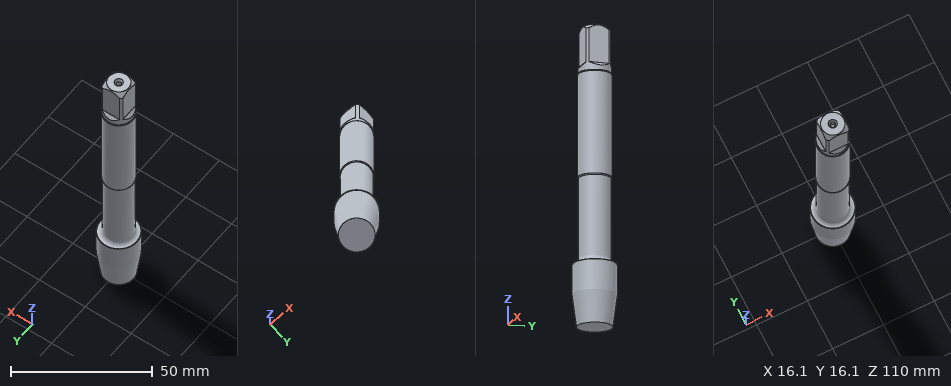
import cadquery as cq
import math

total_length = 110.0
taper_height = 11.7
head_height = 22.9
collar_bottom = 54.5
collar_top = 93.0
flat_bottom = 95.9

head_diameter = 16.1
tip_diameter = 13.0
lower_shaft_diameter = 11.7
collar_diameter = 12.2
drive_diameter = 11.9
drive_top_diameter = 8.6

square_width = 9.2
run_out_angle = 43.0
top_chamfer_height = 1.6
center_hole_diameter = 2.0
center_hole_depth = 3.3
countersink_diameter = 3.2
drill_point_angle = 118.0
collar_chamfer_height = 0.4
neck_fillet_radius = 2.0


def revolve_profile(points):
    """Revolve an (r, z) outline about the Z axis."""
    return cq.Workplane("XZ").polyline(points).close().revolve(360, (0, 0), (0, 1))


def make_head():
    """Threading head: a cylinder that tapers towards the tip."""
    head_radius = head_diameter / 2
    return revolve_profile([
        (0, 0),
        (tip_diameter / 2, 0),
        (head_radius, taper_height),
        (head_radius, head_height),
        (0, head_height),
    ])


def make_shank_blank():
    """Round shank with its flared neck, collar and beveled drive end."""
    shaft_radius = lower_shaft_diameter / 2
    collar_radius = collar_diameter / 2
    drive_radius = drive_diameter / 2
    neck_height = head_height + neck_fillet_radius
    flare_radius = shaft_radius + neck_fillet_radius
    arc_offset = neck_fillet_radius * math.sqrt(0.5)
    flare_middle = (flare_radius - arc_offset, neck_height - arc_offset)
    return (
        cq.Workplane("XZ")
        .moveTo(0, head_height)
        .lineTo(flare_radius, head_height)
        .threePointArc(flare_middle, (shaft_radius, neck_height))
        .lineTo(shaft_radius, collar_bottom)
        .lineTo(collar_radius, collar_bottom + collar_chamfer_height)
        .lineTo(collar_radius, collar_top - collar_chamfer_height)
        .lineTo(drive_radius, collar_top)
        .lineTo(drive_radius, total_length - top_chamfer_height)
        .lineTo(drive_top_diameter / 2, total_length)
        .lineTo(0, total_length)
        .close()
        .revolve(360, (0, 0), (0, 1))
    )


def make_flat_cutter():
    """Wedge-ended cutter for one drive flat, with a sloped run-out at its foot."""
    inner = square_width / 2
    outer = drive_diameter
    run_out = (outer - inner) * math.tan(math.radians(run_out_angle))
    return (
        cq.Workplane("XZ")
        .polyline([
            (inner, flat_bottom),
            (outer, flat_bottom - run_out),
            (outer, total_length),
            (inner, total_length),
        ])
        .close()
        .extrude(drive_diameter / 2, both=True)
    )


def make_center_hole():
    """Countersunk centre hole with a drill-point bottom."""
    hole_radius = center_hole_diameter / 2
    sink_radius = countersink_diameter / 2
    sink_depth = (sink_radius - hole_radius) * math.sqrt(3)
    point_depth = hole_radius / math.tan(math.radians(drill_point_angle / 2))
    hole_bottom = total_length - center_hole_depth
    return revolve_profile([
        (0, hole_bottom - point_depth),
        (hole_radius, hole_bottom),
        (hole_radius, total_length - sink_depth),
        (sink_radius, total_length),
        (0, total_length),
    ])


def make_shank():
    """Shank with four drive flats and a centre hole."""
    shank = make_shank_blank().cut(make_center_hole())
    for angle in (0, 90, 180, 270):
        shank = shank.cut(make_flat_cutter().rotate((0, 0, 0), (0, 0, 1), angle))
    return shank


head = make_head()
shank = make_shank()
result = cq.Compound.makeCompound([head.val(), shank.val()])